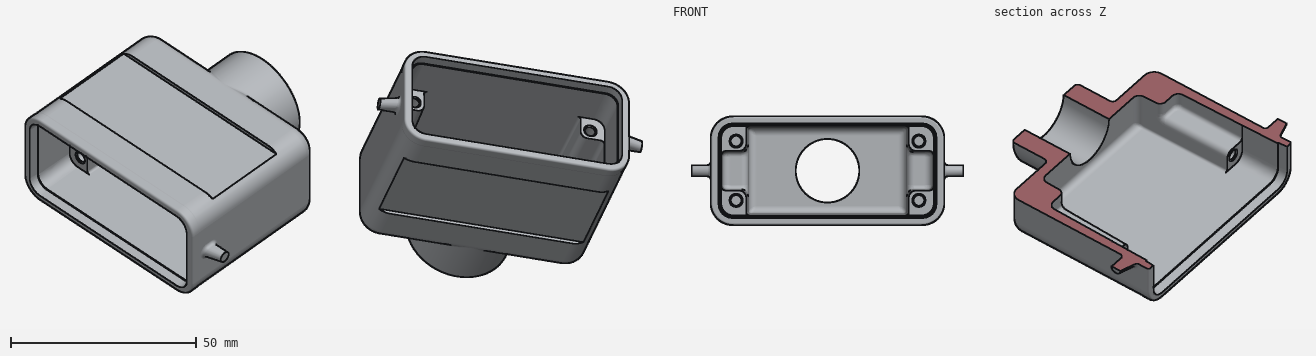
import cadquery as cq
import math

TOTAL_WIDTH = 73.5
TOTAL_DEPTH = 60.3
HOOD_HEIGHT = 29.5
LIP_WIDTH = 63.2
HOOD_DEPTH = 47.8
CORNER_RADIUS = 6.0
BACK_ROUNDING = 3.2

LIP_DEPTH = 2.8
LIP_STEP = 0.1
LIP_STEP_SLOPE = 0.3
LIP_ROUNDING = 0.65
HOOD_WIDTH = LIP_WIDTH - 2 * LIP_STEP
BODY_HEIGHT = HOOD_HEIGHT - 2 * LIP_STEP

COLLAR_DIAMETER = 29.0
COLLAR_ROUNDING = 1.2
COLLAR_ROOT_FILLET = 1.25
CABLE_HOLE_DIAMETER = 17.1

LABEL_FRONT = 10.8
LABEL_BACK = 35.95
LABEL_DEPTH = 0.95
LABEL_END_SLOPE = 0.2

MOUTH_WIDTH = 58.95
MOUTH_HEIGHT = 25.6
MOUTH_DEPTH = 2.8
MOUTH_CORNER_RADIUS = 3.9
MOUTH_DRAFT = 5.0
CAVITY_STEP = 0.5
CAVITY_DRAFT = 1.0
CAVITY_WIDTH = MOUTH_WIDTH - 2 * CAVITY_STEP
CAVITY_HEIGHT = MOUTH_HEIGHT - 2 * CAVITY_STEP
CAVITY_CORNER_RADIUS = MOUTH_CORNER_RADIUS - CAVITY_STEP
LEDGE_Y = 14.7
BACK_WALL = 3.1
FLOOR_Y = HOOD_DEPTH - BACK_WALL
CHAMBER_WIDTH = 43.95
CHAMBER_DRAFT = 1.4
CHAMBER_CORNER_RADIUS = 0.7
FLOOR_FILLET = 2.05

NOTCH_HEIGHT = 10.7
NOTCH_WIDTH = 57.3
NOTCH_FLOOR_Y = 36.75
NOTCH_DRAFT = 1.0
NOTCH_SIDE_FILLET = 1.2
NOTCH_WALL_FILLET = 2.05
PILLAR_ROUNDING = 1.9

SCREW_X = 24.7
SCREW_Z = 8.0
SCREW_DIAMETER = 2.9
SCREW_DEPTH = 8.8
COUNTERSINK_DIAMETER = 3.6
COUNTERSINK_SLOPE = 45.0

PIN_DIAMETER = 3.1
PIN_Y = 7.3
PIN_ROOT_SPREAD = 1.9
PIN_ROOT_FILLET = 1.0
PIN_EMBED = 0.7

PICK_MARGIN = 0.4


def rounded_block(width, height, radius, start, end, taper=0.0):
    """Block with rounded corners in XZ, running from Y = start to Y = end."""
    return (
        cq.Workplane("XZ", origin=(0, start, 0))
        .sketch()
        .rect(width, height)
        .vertices()
        .fillet(radius)
        .finalize()
        .extrude(start - end, taper=taper)
    )


def drafted_block(width, height, start, end, draft):
    """Square-cornered block narrowing from Y = start to Y = end by the draft angle."""
    return (
        cq.Workplane("XZ", origin=(0, start, 0))
        .rect(width, height)
        .extrude(start - end, taper=draft)
    )


def make_hood():
    """The hood with its rounded back, and the lip that closes onto it, as two solids."""
    lip = rounded_block(LIP_WIDTH, HOOD_HEIGHT, CORNER_RADIUS, 0, LIP_DEPTH)
    lip = lip.faces("<Y").edges().fillet(LIP_ROUNDING)
    slope_angle = math.degrees(math.atan2(LIP_STEP, LIP_STEP_SLOPE))
    slope_end = LIP_DEPTH + LIP_STEP_SLOPE
    slope = rounded_block(LIP_WIDTH, HOOD_HEIGHT, CORNER_RADIUS, LIP_DEPTH, slope_end, slope_angle)
    body = rounded_block(HOOD_WIDTH, BODY_HEIGHT, CORNER_RADIUS - LIP_STEP, LIP_DEPTH, HOOD_DEPTH)
    body = body.faces(">Y").edges().fillet(BACK_ROUNDING)
    return body, lip.union(slope)


def add_collar(body):
    """Join the collar to the rounded back of the hood and blend its root."""
    start = HOOD_DEPTH / 2
    collar = (
        cq.Workplane("XZ", origin=(0, start, 0))
        .circle(COLLAR_DIAMETER / 2)
        .extrude(start - TOTAL_DEPTH)
    )
    collar = collar.faces(">Y").edges().fillet(COLLAR_ROUNDING)
    joined = body.union(collar)
    reach = COLLAR_DIAMETER / 2 + PICK_MARGIN
    root = cq.selectors.BoxSelector(
        (-reach, HOOD_DEPTH - BACK_ROUNDING, -reach), (reach, HOOD_DEPTH + PICK_MARGIN, reach)
    )
    blended = joined.edges(root - cq.selectors.TypeSelector("LINE"))
    return blended.fillet(COLLAR_ROOT_FILLET)


def label_recess():
    """Trapezoidal cutter with slightly sloped ends, for the upper face."""
    top = HOOD_HEIGHT / 2
    floor = top - LABEL_DEPTH
    return (
        cq.Workplane("YZ")
        .moveTo(LABEL_FRONT, top)
        .lineTo(LABEL_FRONT + LABEL_END_SLOPE, floor)
        .lineTo(LABEL_BACK - LABEL_END_SLOPE, floor)
        .lineTo(LABEL_BACK, top)
        .close()
        .extrude(LIP_WIDTH / 2, both=True)
    )


def make_chamber(full_cavity):
    """Deep chamber between the screw pillars, with the notches opening off both ends."""
    chamber = drafted_block(CHAMBER_WIDTH, HOOD_HEIGHT, LEDGE_Y, FLOOR_Y, CHAMBER_DRAFT)
    chamber = chamber.intersect(full_cavity)
    chamber = chamber.edges("not(#Y)").fillet(CHAMBER_CORNER_RADIUS)
    chamber = chamber.faces(">Y").edges().fillet(FLOOR_FILLET)
    notch = drafted_block(NOTCH_WIDTH, NOTCH_HEIGHT, LEDGE_Y, NOTCH_FLOOR_Y, NOTCH_DRAFT)
    notch = notch.faces(">Y").edges("|Z").fillet(NOTCH_WALL_FILLET)
    notch = notch.faces(">Y").edges("|X").fillet(NOTCH_SIDE_FILLET)
    joined = chamber.union(notch)
    reach_x = CHAMBER_WIDTH / 2 + PICK_MARGIN
    reach_z = NOTCH_HEIGHT / 2 + PICK_MARGIN
    corners = cq.selectors.BoxSelector(
        (-reach_x, LEDGE_Y + PICK_MARGIN, -reach_z),
        (reach_x, NOTCH_FLOOR_Y + PICK_MARGIN, reach_z),
    )
    return joined.edges(corners).fillet(PILLAR_ROUNDING)


def make_interior():
    """Everything hollow inside the hood, from the mouth to the cable hole."""
    mouth = rounded_block(MOUTH_WIDTH, MOUTH_HEIGHT, MOUTH_CORNER_RADIUS, 0, MOUTH_DEPTH, MOUTH_DRAFT)
    full_cavity = rounded_block(
        CAVITY_WIDTH, CAVITY_HEIGHT, CAVITY_CORNER_RADIUS, 0, FLOOR_Y, CAVITY_DRAFT
    )
    front_block = cq.Workplane("XY").box(
        LIP_WIDTH, LEDGE_Y, HOOD_HEIGHT, centered=(True, False, True)
    )
    cavity = full_cavity.intersect(front_block)
    cable_hole = (
        cq.Workplane("XZ", origin=(0, TOTAL_DEPTH, 0))
        .circle(CABLE_HOLE_DIAMETER / 2)
        .extrude(TOTAL_DEPTH - LEDGE_Y)
    )
    return cavity.union(mouth).union(make_chamber(full_cavity)).union(cable_hole)


def drill_screw_holes(part):
    """Blind countersunk hole in each of the four pillars."""
    sink_step = (COUNTERSINK_DIAMETER - SCREW_DIAMETER) / 2
    sink_depth = sink_step / math.tan(math.radians(COUNTERSINK_SLOPE))
    ledge = cq.Workplane("XZ", origin=(0, LEDGE_Y, 0))
    centers = [(sx * SCREW_X, sz * SCREW_Z) for sx in (-1, 1) for sz in (-1, 1)]
    holes = ledge.pushPoints(centers).circle(SCREW_DIAMETER / 2).extrude(-SCREW_DEPTH)
    sink_circles = ledge.pushPoints(centers).circle(COUNTERSINK_DIAMETER / 2)
    sinks = sink_circles.extrude(-sink_depth, taper=COUNTERSINK_SLOPE)
    return part.cut(holes).cut(sinks)


def make_pin():
    """Pin on the +X end: round at the tip, stretched toward the mouth at its root."""
    root_x = HOOD_WIDTH / 2 - PIN_EMBED
    tip_x = TOTAL_WIDTH / 2
    radius = PIN_DIAMETER / 2
    straight = cq.Workplane("YZ", origin=(root_x, PIN_Y, 0)).circle(radius).extrude(tip_x - root_x)
    slanted = (
        cq.Workplane("YZ", origin=(root_x, PIN_Y - PIN_ROOT_SPREAD, 0))
        .circle(radius)
        .workplane(offset=tip_x - root_x)
        .center(PIN_ROOT_SPREAD, 0)
        .circle(radius)
        .loft()
    )
    web = (
        cq.Workplane("XY")
        .polyline([(root_x, PIN_Y), (tip_x, PIN_Y), (root_x, PIN_Y - PIN_ROOT_SPREAD)])
        .close()
        .extrude(radius, both=True)
    )
    return straight.union(web).union(slanted)


def add_pins(part):
    """Join a pin to each end and blend its root into the wall."""
    pin = make_pin()
    part = part.union(pin).union(pin.mirror("YZ"))
    root_x = HOOD_WIDTH / 2
    reach = PIN_DIAMETER
    for side in (-1, 1):
        root = cq.selectors.BoxSelector(
            (side * root_x - PICK_MARGIN, PIN_Y - reach, -reach),
            (side * root_x + PICK_MARGIN, PIN_Y + reach, reach),
        )
        part = part.edges(root).fillet(PIN_ROOT_FILLET)
    return part


body, lip = make_hood()
shell = add_pins(add_collar(body)).union(lip)
recess = label_recess()
shell = shell.cut(recess).cut(recess.mirror("XY"))
result = drill_screw_holes(shell.cut(make_interior()))